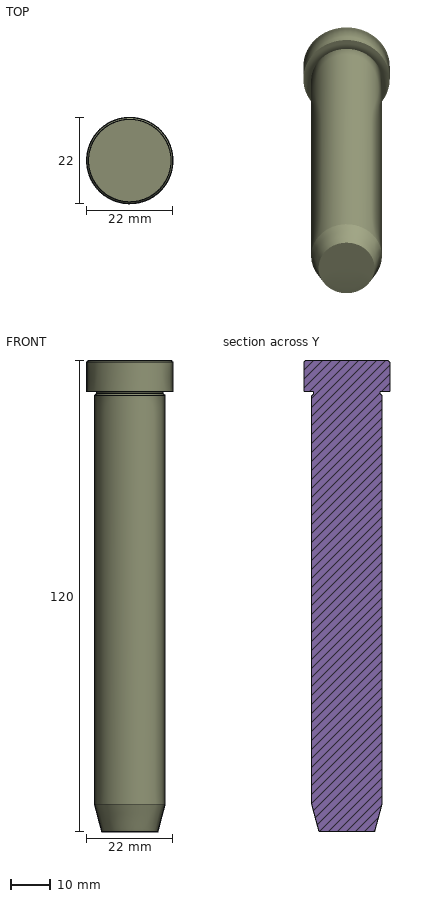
import cadquery as cq
import math

overall_length = 120.0
head_diameter = 22.0
head_height = 8.0
head_chamfer = 0.5
shank_diameter = 18.0
neck_depth = 0.5
neck_height = 0.5
neck_taper_height = 0.5
tip_length = 7.0
tip_half_angle = 15.0

head_radius = head_diameter / 2
shank_radius = shank_diameter / 2
neck_radius = shank_radius - neck_depth
tip_radius = shank_radius - tip_length * math.tan(math.radians(tip_half_angle))
head_underside = overall_length - head_height
neck_bottom = head_underside - neck_height


def pin_blank():
    """Turned pin: tapered tip, straight shank, relieved neck and plain head."""
    return (
        cq.Workplane("XZ")
        .moveTo(0, 0)
        .lineTo(tip_radius, 0)
        .lineTo(shank_radius, tip_length)
        .lineTo(shank_radius, neck_bottom - neck_taper_height)
        .lineTo(neck_radius, neck_bottom)
        .lineTo(neck_radius, head_underside)
        .lineTo(head_radius, head_underside)
        .lineTo(head_radius, overall_length)
        .lineTo(0, overall_length)
        .close()
        .revolve(360, (0, 0, 0), (0, 1, 0))
    )


def break_head_edge(pin):
    """Chamfer the rim of the head's flat top."""
    return pin.faces(">Z").edges().chamfer(head_chamfer)


result = break_head_edge(pin_blank())